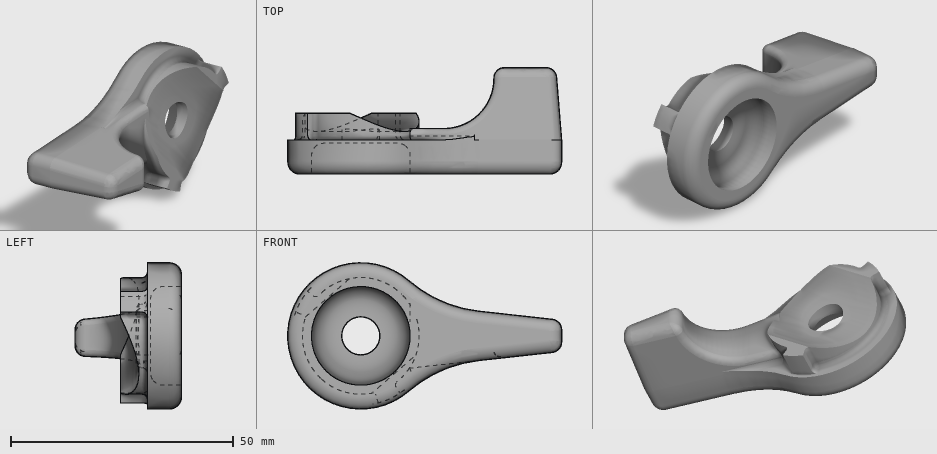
import cadquery as cq
import math

disc_radius = 16.45
overall_length = 61.6
tip_x = overall_length - disc_radius
plate_thickness = 7.7
front_round = 2.8
side_angle = math.radians(6.3)
tip_half_width = 3.5
tip_corner_radius = 2.45
neck_radius = 28.65

bore_radius = 11.1
bore_depth = 6.95
bore_floor_round = 2.8
hole_radius = 4.25

hub_radius = 13.1
hub_top = 13.75
hub_base_fillet = 1.2
tab_radius = 15.6
tab_span = 20.0
tab_start_angles = (140.0, 284.5)
tab_root_fillet = 0.9
scoop_direction = 41.0
scoop_depth = 4.1
scoop_half_width = hub_radius * math.sin(math.radians(60))

grip_top = 23.95
grip_start_x = 11.1
grip_back_x = 29.9
neck_fillet = 1.2
neck_end_x = 25.7
saddle_y = 10.3
saddle_radius = 11.15
upper_draft = 5.0
lower_draft = 1.5
tip_draft = 4.6
grip_top_round = 2.4
grip_back_round = 1.5

tolerance = 0.05


def half_width(x):
    """Half width of the tapered arm at x."""
    return tip_half_width + (tip_x - x) * math.tan(side_angle)


def sketch_at(y):
    """Sketch plane at height y, with local x along X and local y along Z."""
    return cq.Workplane("XZ", origin=(0, y, 0))


def polar(radius, degrees):
    angle = math.radians(degrees)
    return radius * math.cos(angle), radius * math.sin(angle)


def make_plate():
    normal_x, normal_z = math.sin(side_angle), math.cos(side_angle)
    offset = half_width(0) * normal_z + neck_radius
    reach = disc_radius + neck_radius
    along = math.sqrt(reach**2 - offset**2)
    center_x = offset * normal_x + along * normal_z
    center_z = offset * normal_z - along * normal_x
    disc_x = center_x * disc_radius / reach
    disc_z = center_z * disc_radius / reach
    side_x = center_x - neck_radius * normal_x
    side_z = center_z - neck_radius * normal_z
    sum_x = disc_x + side_x - 2 * center_x
    sum_z = disc_z + side_z - 2 * center_z
    sum_length = math.hypot(sum_x, sum_z)
    mid_x = center_x + neck_radius * sum_x / sum_length
    mid_z = center_z + neck_radius * sum_z / sum_length
    return (
        sketch_at(0)
        .moveTo(disc_x, disc_z)
        .threePointArc((mid_x, mid_z), (side_x, side_z))
        .lineTo(tip_x, tip_half_width)
        .lineTo(tip_x, -tip_half_width)
        .lineTo(side_x, -side_z)
        .threePointArc((mid_x, -mid_z), (disc_x, -disc_z))
        .threePointArc((-disc_radius, 0), (disc_x, disc_z))
        .close()
        .extrude(-plate_thickness)
    )


def pivot_distance(edge):
    """Distance of an edge's midpoint from the pivot axis."""
    middle = edge.positionAt(0.5)
    return math.hypot(middle.x, middle.z)


def is_seam(edge):
    """True for the closing line of the hub cylinder, which lies on no tab."""
    middle = edge.positionAt(0.5)
    return abs(middle.z) < tolerance


def make_hub():
    height = hub_top - plate_thickness
    hub = sketch_at(plate_thickness).circle(hub_radius).extrude(-height)
    for start in tab_start_angles:
        end = start + tab_span
        tab = (
            sketch_at(plate_thickness)
            .lineTo(*polar(tab_radius, start))
            .threePointArc(polar(tab_radius, start + tab_span / 2), polar(tab_radius, end))
            .close()
            .extrude(-height)
        )
        hub = hub.union(tab)
    roots = [
        edge for edge in hub.edges("|Y").vals()
        if pivot_distance(edge) < hub_radius + tolerance and not is_seam(edge)
    ]
    hub = hub.newObject(roots).fillet(tab_root_fillet)

    hub = sketch_at(plate_thickness / 2).circle(disc_radius).extrude(-plate_thickness / 2).union(hub)
    foot_zone = cq.selectors.BoxSelector(
        (-tab_radius, plate_thickness - tolerance, -tab_radius),
        (tab_radius, plate_thickness + tolerance, tab_radius),
    )
    foot = [
        edge for edge in hub.edges(foot_zone).vals()
        if pivot_distance(edge) < tab_radius - tolerance
    ]
    hub = hub.newObject(foot).fillet(hub_base_fillet)

    scoop_radius = (scoop_half_width**2 + scoop_depth**2) / (2 * scoop_depth)
    scoop = (
        cq.Workplane("XY")
        .center(0, hub_top - scoop_depth + scoop_radius)
        .circle(scoop_radius)
        .extrude(2 * tab_radius, both=True)
        .rotate((0, 0, 0), (0, 1, 0), 90 - scoop_direction)
    )
    return hub.cut(scoop)


def make_grip():
    def section(y):
        rise = y - plate_thickness
        upper = rise * math.tan(math.radians(upper_draft))
        lower = rise * math.tan(math.radians(lower_draft))
        end_x = tip_x - rise * math.tan(math.radians(tip_draft))
        return [
            (grip_start_x, half_width(grip_start_x) - upper),
            (end_x, half_width(end_x) - upper),
            (end_x, lower - half_width(end_x)),
            (grip_start_x, lower - half_width(grip_start_x)),
        ]

    block = (
        sketch_at(plate_thickness)
        .polyline(section(plate_thickness)).close()
        .workplane(offset=plate_thickness - grip_top)
        .polyline(section(grip_top)).close()
        .loft(ruled=True)
    )
    tip_corners = block.faces(">X").edges("not(#Y)").edges("not(|Z)")
    block = tip_corners.fillet(tip_corner_radius)

    arc_x = grip_back_x - saddle_radius
    arc_y = saddle_y + saddle_radius
    diagonal = saddle_radius * math.sqrt(0.5)
    saddle = (
        cq.Workplane("XY")
        .moveTo(0, saddle_y)
        .lineTo(arc_x, saddle_y)
        .threePointArc((arc_x + diagonal, arc_y - diagonal), (grip_back_x, arc_y))
        .lineTo(grip_back_x, 2 * grip_top)
        .lineTo(0, 2 * grip_top)
        .close()
        .extrude(disc_radius, both=True)
    )
    grip = block.cut(saddle).faces(">Y").edges().fillet(grip_top_round)
    back_edges = grip.faces("%CYLINDER").faces("<X").edges("not(|Z)")
    return back_edges.fillet(grip_back_round)


def make_neck_fillets(plate):
    """Concave fillets between the upright neck walls and the plate, kept inside the outline."""
    length = neck_end_x - grip_start_x
    lean = neck_fillet * math.tan(math.radians(upper_draft))
    bulge = neck_fillet * (1 - math.sqrt(0.5))
    strip = (
        cq.Workplane("YZ")
        .moveTo(plate_thickness, -neck_fillet)
        .lineTo(plate_thickness, neck_fillet)
        .threePointArc((plate_thickness + bulge, bulge), (plate_thickness + neck_fillet, -lean))
        .lineTo(plate_thickness + neck_fillet, -neck_fillet)
        .close()
        .extrude(length)
        .rotate((0, 0, 0), (0, 1, 0), math.degrees(side_angle))
        .translate((grip_start_x, 0, half_width(grip_start_x)))
    )
    strips = strip.union(strip.mirror("XY"))
    outline = plate.translate((0, plate_thickness, 0))
    return strips.intersect(outline)


plate = make_plate()
plate = plate.edges("|Y and >X").fillet(tip_corner_radius)
neck_fillets = make_neck_fillets(plate)
plate = plate.faces("<Y").edges().fillet(front_round)
bore = sketch_at(0).circle(bore_radius).extrude(-bore_depth)
bore = bore.faces(">Y").edges().fillet(bore_floor_round)
hole = sketch_at(0).circle(hole_radius).extrude(-hub_top)

result = plate.union(make_hub()).union(make_grip()).union(neck_fillets).cut(bore).cut(hole)